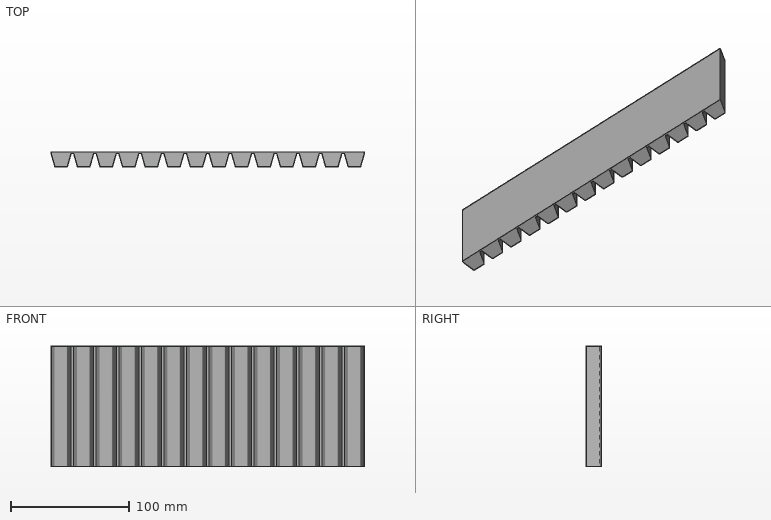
import cadquery as cq

length = 264.5
depth = 12.7
height = 101.5

tooth_count = 14
tooth_pitch = 19.0
tip_width = 10.5
web_thickness = 1.5
tip_radius = 0.65

root_width = length - (tooth_count - 1) * tooth_pitch
front_y = -depth / 2
back_y = depth / 2
root_y = back_y - web_thickness


def tooth_points(index):
    """Root and tip corners of one tooth, listed from left to right."""
    center_x = (index - (tooth_count - 1) / 2) * tooth_pitch
    return [
        (center_x - root_width / 2, root_y),
        (center_x - tip_width / 2, front_y),
        (center_x + tip_width / 2, front_y),
        (center_x + root_width / 2, root_y),
    ]


outline = [(-length / 2, back_y)]
for index in range(tooth_count):
    outline += tooth_points(index)
outline.append((length / 2, back_y))

result = (
    cq.Workplane("XY")
    .workplane(offset=-height / 2)
    .polyline(outline)
    .close()
    .extrude(height)
    .edges("|Z")
    .edges("<Y")
    .fillet(tip_radius)
)